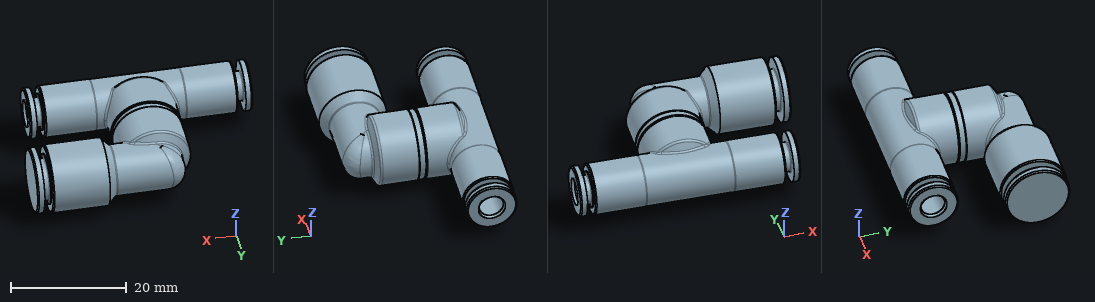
import cadquery as cq
import math


body_radius = 4.5
run_half_body = 7.8
run_step_length = 0.15

stem_diameter = 12.5
stem_radius = stem_diameter / 2
stem_bottom = 1.5
stem_top = 16.55
shoulder_angle = 30
shoulder_round = 0.5
joint_gap_bottom = 8.3
joint_gap_top = 8.55
joint_gap_radius = 6.05
swivel_ring_top = 9.65
swivel_ring_radius = 6.2
swivel_bevel = 0.13

elbow_height = 17.97
elbow_corner_round = 2.5
mitre_fade = 0.63
elbow_cone_start = 8.0
elbow_cone_round = 0.3

joint_round = 0.4

match_tolerance = 0.005

sleeve_bevel_length = 0.25
sleeve_bevel_depth = 0.2
ring_length = 0.13
neck_round = 0.15
collar_bevel = 0.25

run_port = dict(
    sleeve_radius=4.55, sleeve_end=17.0, ring_radius=3.2, neck_radius=2.6,
    collar_start=18.4, collar_end=19.6, collar_radius=4.47,
)
elbow_sleeve_diameter = 12.0
elbow_port = dict(
    sleeve_radius=elbow_sleeve_diameter / 2, sleeve_end=19.5, ring_radius=4.45, neck_radius=3.68,
    collar_start=20.95, collar_end=22.2, collar_radius=5.75,
)

bore_radius = 1.5
socket_radius = 2.15
socket_mouth_radius = 2.4
socket_mouth_depth = 0.55
socket_depth = 10.45


def turned_on_x(points):
    """Solid of revolution about the X axis from (x, radius) points; both ends close on the axis."""
    outline = [(points[0][0], 0)] + points + [(points[-1][0], 0)]
    return cq.Workplane("XY").polyline(outline).close().revolve(360, (0, 0), (1, 0))


def port(lead_in, sleeve_radius, sleeve_end, ring_radius, neck_radius,
         collar_start, collar_end, collar_radius):
    """Sleeve, end ring, neck and release collar along +X, following the lead_in points."""
    neck_start = sleeve_end + ring_length
    solid = turned_on_x(lead_in + [
        (sleeve_end - sleeve_bevel_length, sleeve_radius),
        (sleeve_end, sleeve_radius - sleeve_bevel_depth),
        (sleeve_end, ring_radius),
        (neck_start, ring_radius),
        (neck_start, neck_radius),
        (collar_start, neck_radius),
        (collar_start, collar_radius),
        (collar_end - collar_bevel, collar_radius),
        (collar_end, collar_radius - collar_bevel),
    ])
    neck_corners = cq.selectors.BoxSelector(
        (neck_start - neck_round / 2, -neck_radius - neck_round, -neck_radius - neck_round),
        (collar_start + neck_round / 2, neck_radius + neck_round, neck_radius + neck_round),
        boundingbox=True,
    )
    return solid.edges(neck_corners).edges("%CIRCLE").fillet(neck_round)


def make_run_port():
    """Port at the +X end of the run, with the bevelled step from the run up to the sleeve."""
    sleeve_start = run_half_body + run_step_length
    lead_in = [(run_half_body, body_radius), (sleeve_start, run_port["sleeve_radius"])]
    return port(lead_in, **run_port)


def make_elbow_port():
    """Port at the +X end of the elbow, flaring from the barrel to the sleeve in a 45 degree cone."""
    sleeve_radius = elbow_port["sleeve_radius"]
    cone_end = elbow_cone_start + sleeve_radius - body_radius
    barrel_start = run_half_body - joint_round
    lead_in = [
        (barrel_start, body_radius),
        (elbow_cone_start, body_radius),
        (cone_end, sleeve_radius),
    ]
    solid = port(lead_in, **elbow_port)
    flare = cq.selectors.BoxSelector(
        (elbow_cone_start - elbow_cone_round, -stem_radius, -stem_radius),
        (elbow_cone_start + elbow_cone_round, stem_radius, stem_radius),
        boundingbox=True,
    )
    solid = solid.edges(flare).edges("%CIRCLE").fillet(elbow_cone_round)
    return solid.translate((0, elbow_height, 0))


def make_stem():
    """Stem turned about Y, with a conical shoulder at each end and the swivel joint between."""
    shoulder_height = stem_radius * math.tan(math.radians(shoulder_angle))
    solid = (
        cq.Workplane("XY")
        .moveTo(0, stem_bottom - shoulder_height)
        .lineTo(stem_radius, stem_bottom)
        .lineTo(stem_radius, joint_gap_bottom)
        .lineTo(joint_gap_radius, joint_gap_bottom)
        .lineTo(joint_gap_radius, joint_gap_top)
        .lineTo(swivel_ring_radius, joint_gap_top)
        .lineTo(swivel_ring_radius, swivel_ring_top)
        .lineTo(stem_radius, swivel_ring_top + swivel_bevel)
        .lineTo(stem_radius, stem_top)
        .lineTo(0, stem_top + shoulder_height)
        .close()
        .revolve(360, (0, 0), (0, 1))
    )
    rims = [
        edge for edge in solid.edges("%CIRCLE").vals()
        if min(abs(edge.Center().y - rim) for rim in (stem_bottom, stem_top)) < match_tolerance
    ]
    return solid.newObject(rims).fillet(shoulder_round)


def on_radius(first, second, radius):
    """Whether two coordinates across an axis lie on a cylinder of that radius."""
    return abs(math.hypot(first, second) - radius) < match_tolerance


def join_with_blend(stem, tubes, axis_height):
    """Fuse tubes of body_radius onto the stem and blend the seam where they meet."""
    joined = stem.union(tubes)
    seam = []
    for edge in joined.edges().vals():
        middle = edge.positionAt(0.5)
        on_arm = on_radius(middle.y - axis_height, middle.z, body_radius)
        on_upright = on_radius(middle.x, middle.z, body_radius)
        inside_stem = math.hypot(middle.x, middle.z) < stem_radius + match_tolerance
        facing_joint = abs(middle.y - joint_gap_top) < abs(axis_height - joint_gap_top)
        if (on_arm or on_upright) and inside_stem and facing_joint:
            seam.append(edge)
    return joined.newObject(seam).fillet(joint_round)


def prism(points):
    """Tall prism over an outline drawn around the elbow axis, for cutting the mitre."""
    return (
        cq.Workplane("XY").center(0, elbow_height)
        .polyline(points).close().extrude(2 * body_radius, both=True)
    )


def make_elbow_corner():
    """Two equal cylinders mitred at the elbow axis, the outer mitre rounded by a rolling ball."""
    reach = 3 * body_radius
    upright = (
        cq.Workplane("XZ", origin=(0, swivel_ring_top, 0))
        .circle(body_radius).extrude(-reach)
    )
    arm = (
        cq.Workplane("YZ", origin=(-reach, elbow_height, 0))
        .circle(body_radius).extrude(reach + run_half_body)
    )
    below_mitre = prism([(-reach, reach), (-reach, -reach), (reach, -reach)])
    above_mitre = prism([(-reach, reach), (reach, reach), (reach, -reach)])
    bend = upright.intersect(below_mitre).union(arm.intersect(above_mitre))

    outer_side = prism([
        (-reach - mitre_fade, -reach + mitre_fade),
        (reach - mitre_fade, reach + mitre_fade),
        (-reach, reach),
    ])
    outer = bend.intersect(outer_side)
    mitre = [
        edge for edge in outer.edges("%ELLIPSE").vals()
        if abs(edge.Center().x + edge.Center().y - elbow_height) < match_tolerance
    ]
    outer = outer.newObject(mitre).fillet(elbow_corner_round)
    return bend.cut(outer_side).union(outer)


def make_run_body():
    return cq.Workplane("YZ", origin=(-run_half_body, 0, 0)).circle(body_radius).extrude(2 * run_half_body)


def make_socket():
    """Bore of a run port: tapered mouth, tube socket, conical floor, down to the middle of the run."""
    end = run_port["collar_end"]
    floor = end - socket_depth
    return turned_on_x([
        (0, bore_radius),
        (floor - (socket_radius - bore_radius), bore_radius),
        (floor, socket_radius),
        (end - socket_mouth_depth, socket_radius),
        (end, socket_mouth_radius),
    ])


result = join_with_blend(make_stem(), make_run_body(), 0)
result = join_with_blend(result, make_elbow_corner(), elbow_height)
result = result.union(make_elbow_port())
for turn in (0, 180):
    result = result.union(make_run_port().rotate((0, 0, 0), (0, 1, 0), turn))
for turn in (0, 180):
    result = result.cut(make_socket().rotate((0, 0, 0), (0, 1, 0), turn))